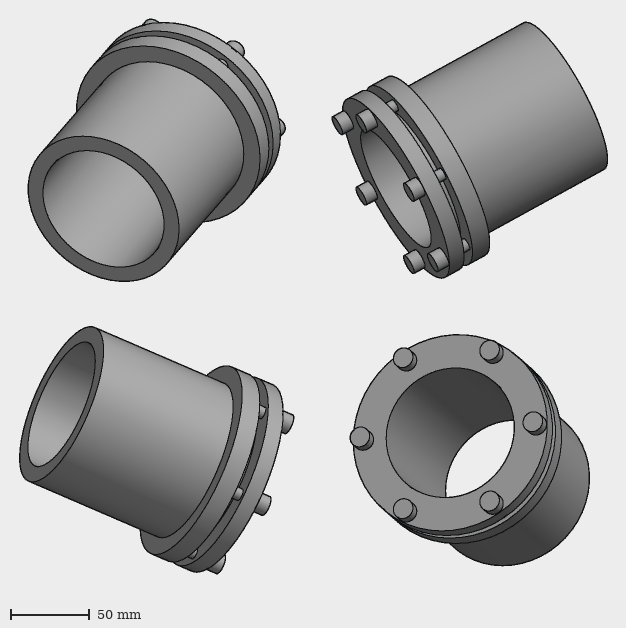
import cadquery as cq

total_length = 133.0
bore_diameter = 85.1
sleeve_diameter = 106.1
flange_diameter = 129.0
neck_diameter = 100.0

head_height = 8.1
cover_thickness = 10.9
gap_width = 6.3
flange_thickness = 12.9

bolt_count = 6
bolt_circle_diameter = 114.9
head_diameter = 13.0
shank_diameter = 8.0

cover_back = total_length - head_height
cover_front = cover_back - cover_thickness
flange_back = cover_front - gap_width
flange_front = flange_back - flange_thickness


def cylinder(diameter, start, end):
    """Cylinder on the Y axis between two positions."""
    plane = cq.Workplane("XZ", origin=(0, start, 0))
    return plane.circle(diameter / 2).extrude(start - end)


def bolt_ring(diameter, start, end):
    """Equally spaced cylinders on the bolt circle, the first one on the X axis."""
    plane = cq.Workplane("XZ", origin=(0, start, 0))
    places = plane.polarArray(bolt_circle_diameter / 2, 0, 360, bolt_count)
    return places.circle(diameter / 2).extrude(start - end)


body = cylinder(sleeve_diameter, 0, flange_back)
body = body.union(cylinder(flange_diameter, flange_front, flange_back))
body = body.union(cylinder(neck_diameter, flange_front, cover_back))
body = body.union(cylinder(flange_diameter, cover_front, cover_back))

body = body.union(bolt_ring(shank_diameter, flange_front + flange_thickness / 2, cover_back))
body = body.union(bolt_ring(head_diameter, cover_back, total_length))

result = body.cut(cylinder(bore_diameter, 0, total_length))